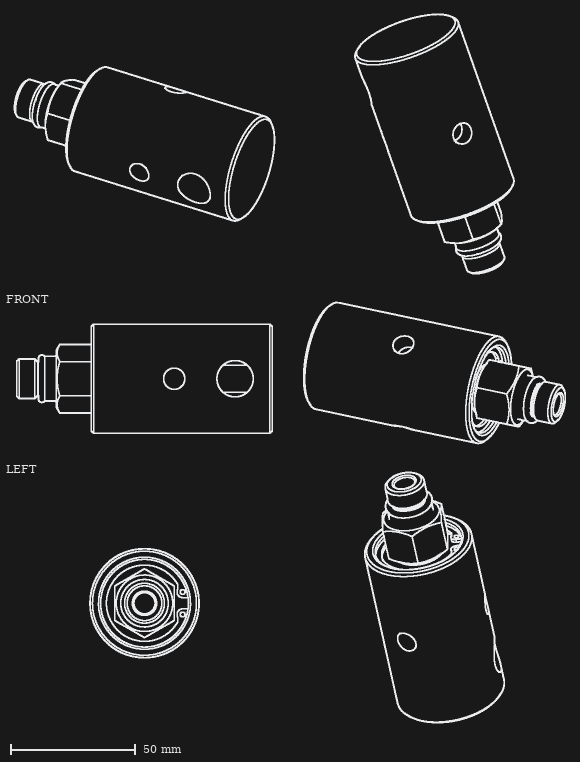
import cadquery as cq
import math

overall_length = 102.4

housing_diameter = 43.7
housing_front = 29.8
housing_chamfer = 1.0
mouth_diameter = 36.9
recess_diameter = 35.1
ring_front = 32.2
ring_thickness = 1.3
recess_floor = ring_front + ring_thickness

ring_inner_radius = 15.3
ear_hole_diameter = 1.9
ear_radius = 2.3
ear_root_inset = 0.3
ear_hole_y = -15.3
ear_hole_z = 4.5

pin_hole_diameter = 8.5
pin_hole_depth = 8.5
pin_hole_x = 63.1
pin_hole_count = 3
port_diameter = 14.5
port_x = 87.5
port_point_angle = 118.0

bore_diameter = 8.5
bore_chamfer = 0.6
tube_diameter = 11.0
tube_end = 96.3
tip_diameter = 13.9
thread_diameter = 16.0
thread_end = 7.3
neck_diameter = 13.5
neck_start = thread_end + (thread_diameter - neck_diameter) / 2
collar_diameter = 18.0
collar_fillet = 0.4
bead_radius = 1.4
bead_diameter = 19.0
bead_center_x = 10.1
bead_center_radius = bead_diameter / 2 - bead_radius
hex_sides = 6
hex_across_flats = 23.9
hex_face_diameter = 22.6
hex_front = 15.9
hex_back = 31.7
hex_chamfer_angle = 30.0
journal_diameter = 19.9


def disc(diameter, start, end):
    """Solid cylinder about the X axis between two X positions."""
    return cq.Workplane("YZ", origin=(start, 0, 0)).circle(diameter / 2).extrude(end - start)


def cone(start_diameter, end_diameter, start, end):
    """Truncated cone about the X axis between two X positions."""
    solid = cq.Solid.makeCone(
        start_diameter / 2, end_diameter / 2, end - start, cq.Vector(start, 0, 0), cq.Vector(1, 0, 0)
    )
    return cq.Workplane(obj=solid)


def make_ring_ear(side):
    """Rounded ear of the retaining ring, above (side = 1) or below (side = -1) the gap."""
    hole_z = side * ear_hole_z
    root_y = ear_hole_y + ear_radius - ear_root_inset
    shoulder_z = side * math.sqrt(ring_inner_radius**2 - root_y**2)
    gap_z = side * (ear_hole_z - ear_radius)
    outer_y = -recess_diameter / 2
    plane = cq.Workplane("YZ", origin=(ring_front, 0, 0))
    root = (
        plane.moveTo(root_y, shoulder_z)
        .lineTo(root_y, hole_z)
        .lineTo(ear_hole_y, hole_z)
        .lineTo(ear_hole_y, gap_z)
        .lineTo(outer_y, gap_z)
        .lineTo(outer_y, shoulder_z)
        .close()
        .extrude(ring_thickness)
    )
    rounded_end = plane.center(ear_hole_y, hole_z).circle(ear_radius).extrude(ring_thickness)
    return root.union(rounded_end)


def make_ear_hole(side):
    """Plier hole through the ear on the given side of the gap."""
    return (
        cq.Workplane("YZ", origin=(ring_front, ear_hole_y, side * ear_hole_z))
        .circle(ear_hole_diameter / 2)
        .extrude(ring_thickness)
    )


def make_retaining_ring():
    """Open ring with two perforated ears, seated on the recess floor."""
    envelope = disc(recess_diameter, ring_front, recess_floor)
    annulus = envelope.cut(disc(2 * ring_inner_radius, ring_front, recess_floor))
    gap_width = 2 * (ear_hole_z - ear_radius)
    gap = cq.Workplane("XY").box(ring_thickness, housing_diameter / 2, gap_width).translate(
        (ring_front + ring_thickness / 2, -housing_diameter / 4, 0)
    )
    ring = annulus.cut(gap)
    for side in (1, -1):
        ear = make_ring_ear(side).intersect(envelope)
        ring = ring.union(ear).cut(make_ear_hole(side))
    return ring


def make_pin_hole(angle):
    """Flat-bottomed radial hole, turned about the X axis from the -Y side."""
    radius = housing_diameter / 2
    hole = (
        cq.Workplane("XZ", origin=(pin_hole_x, -radius, 0))
        .circle(pin_hole_diameter / 2)
        .extrude(-pin_hole_depth)
    )
    return hole.rotate((0, 0, 0), (1, 0, 0), angle)


def make_port():
    """Side port from -Y: straight wall down to the axis, drill point beyond it."""
    wall = port_diameter / 2
    point_depth = wall / math.tan(math.radians(port_point_angle / 2))
    return (
        cq.Workplane("XY", origin=(port_x, 0, 0))
        .moveTo(0, -housing_diameter / 2)
        .lineTo(wall, -housing_diameter / 2)
        .lineTo(wall, 0)
        .lineTo(0, point_depth)
        .close()
        .revolve(360, (0, 0, 0), (0, 1, 0))
    )


def make_housing(shaft_outside):
    """Housing with its retaining ring, radial holes and a seat that fits the shaft."""
    body = disc(housing_diameter, housing_front, overall_length)
    body = body.faces("<X or >X").chamfer(housing_chamfer)
    body = body.cut(disc(recess_diameter, housing_front, recess_floor))
    lead_in = (mouth_diameter - recess_diameter) / 2
    body = body.cut(cone(mouth_diameter, recess_diameter, housing_front, housing_front + lead_in))
    body = body.union(make_retaining_ring())
    for index in range(pin_hole_count):
        body = body.cut(make_pin_hole(-index * 360 / pin_hole_count))
    return body.cut(make_port()).cut(shaft_outside)


def make_hexagon():
    """Wrench hexagon with corners on Z and both ends bevelled."""
    corner_diameter = hex_across_flats / math.cos(math.pi / hex_sides)
    bevel = (corner_diameter - hex_face_diameter) / 2 * math.tan(math.radians(hex_chamfer_angle))
    prism = (
        cq.Workplane("YZ", origin=(hex_front, 0, 0))
        .polygon(hex_sides, corner_diameter)
        .extrude(hex_back - hex_front)
        .rotate((0, 0, 0), (1, 0, 0), 90)
    )
    profile = (
        cq.Workplane("XY")
        .moveTo(hex_front, 0)
        .lineTo(hex_front, hex_face_diameter / 2)
        .lineTo(hex_front + bevel, corner_diameter / 2)
        .lineTo(hex_back - bevel, corner_diameter / 2)
        .lineTo(hex_back, hex_face_diameter / 2)
        .lineTo(hex_back, 0)
        .close()
        .revolve(360, (0, 0, 0), (1, 0, 0))
    )
    return prism.intersect(profile)


def make_bead_and_collar():
    """Round seal bead on the neck, running into a collar that ends in a fillet at the hexagon."""
    neck_radius = neck_diameter / 2
    collar_radius = collar_diameter / 2
    fillet_start = hex_front - collar_fillet
    neck_contact = math.sqrt(bead_radius**2 - (bead_center_radius - neck_radius) ** 2)
    collar_contact = math.sqrt(bead_radius**2 - (collar_radius - bead_center_radius) ** 2)
    return (
        cq.Workplane("XY")
        .moveTo(bead_center_x - neck_contact, 0)
        .lineTo(bead_center_x - neck_contact, neck_radius)
        .threePointArc(
            (bead_center_x - bead_radius, bead_center_radius),
            (bead_center_x + collar_contact, collar_radius),
        )
        .lineTo(fillet_start, collar_radius)
        .radiusArc((hex_front, collar_radius + collar_fillet), -collar_fillet)
        .lineTo(hex_front, 0)
        .close()
        .revolve(360, (0, 0, 0), (1, 0, 0))
    )


def make_shaft_outside():
    """Shaft without its bore: threaded nozzle, seal bead, collar, hexagon and inner tube."""
    tip_bevel = (thread_diameter - tip_diameter) / 2
    shaft = cone(tip_diameter, thread_diameter, 0, tip_bevel)
    shaft = shaft.union(disc(thread_diameter, tip_bevel, thread_end))
    shaft = shaft.union(cone(thread_diameter, neck_diameter, thread_end, neck_start))
    shaft = shaft.union(disc(neck_diameter, neck_start, bead_center_x))
    shaft = shaft.union(make_bead_and_collar())
    shaft = shaft.union(make_hexagon())
    shaft = shaft.union(disc(journal_diameter, hex_back, recess_floor))
    return shaft.union(disc(tube_diameter, recess_floor, tube_end))


def make_shaft(shaft_outside):
    """Shaft drilled through along X, with a small bevel at the bore mouth."""
    mouth = bore_diameter + 2 * bore_chamfer
    shaft = shaft_outside.cut(disc(bore_diameter, 0, tube_end))
    return shaft.cut(cone(mouth, bore_diameter, 0, bore_chamfer))


shaft_outside = make_shaft_outside()
housing = make_housing(shaft_outside)
shaft = make_shaft(shaft_outside)

result = cq.Compound.makeCompound([housing.val(), shaft.val()])